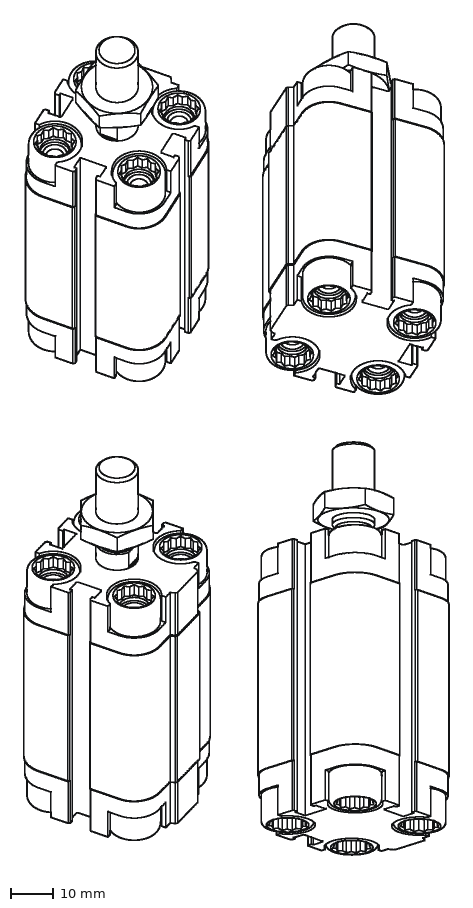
import cadquery as cq
import math


housing_length = 67.9
cap_length = 12.5
barrel_width = 36.0
cap_inset = 0.24
screw_spacing = 22.0
screw_offset = screw_spacing / 2

pad_height = 1.5
pad_edge_chamfer = 0.4
pad_side_lean = 0.5
barrel_pad_half_width = 6.1
cap_pad_half_width = 5.7

slot_mouth_width = 5.4
slot_inner_width = 6.8
slot_depth = 5.0
slot_lip = 1.6
slot_mouth_chamfer = 0.4
side_slot_floor_fillet = 0.4

head_diameter = 12.5
head_height = 7.5
head_pocket_diameter = 13.0
head_fillet = 1.0
corner_cut_start = 7.75
countersink_diameter = 10.0
countersink_end_diameter = 8.1
countersink_depth = 0.5
socket_across_flats = 8.0
socket_depth = 3.2
recess_diameter = 7.2
recess_depth = 4.2
cone_diameter = 5.6
cone_depth = 4.9
bore_diameter = 4.2

rod_diameter = 10.0
rod_top = 94.5
rod_chamfer = 0.8
neck_diameter = 8.5
neck_bottom = 72.6
neck_length = 2.0
wrench_flats = 9.0
wrench_flat_start = 0.4

nut_across_flats = 17.0
nut_thickness = 5.0
nut_bottom = 76.5
nut_face_diameter = 16.8
nut_chamfer_height = 0.5

screw_places = [(x, y) for x in (-screw_offset, screw_offset) for y in (-screw_offset, screw_offset)]


def cylinder(diameter, bottom, height):
    return cq.Workplane("XY").workplane(offset=bottom).circle(diameter / 2).extrude(height)


def profile_section(half_width, pad_half_width, bottom, height):
    """Rounded square about the screw axes, with the pad on +Y and slots in the other sides."""
    section = (
        cq.Workplane("XY").workplane(offset=bottom)
        .rect(2 * half_width, 2 * half_width).extrude(height)
        .edges("|Z").fillet(half_width - screw_offset)
    )
    shoulder = pad_half_width - pad_side_lean
    pad_top = half_width + pad_height
    half_pad = [
        (pad_half_width, 0),
        (pad_half_width, half_width),
        (shoulder, pad_top - pad_edge_chamfer),
        (shoulder - pad_edge_chamfer, pad_top),
    ]
    pad = symmetric_prism(half_pad, bottom, height)
    front_slot = slot_cutter(half_width, bottom, height)
    side_slot = front_slot.edges("|Z and >Y").fillet(side_slot_floor_fillet)
    section = section.union(pad).cut(front_slot)
    for angle in (-90, 90):
        section = section.cut(side_slot.rotate((0, 0, 0), (0, 0, 1), angle))
    return section


def symmetric_prism(half_outline, bottom, height):
    """Prism along Z whose outline is the given +X half and its mirror image."""
    mirrored = [(-x, y) for x, y in reversed(half_outline)]
    return (
        cq.Workplane("XY").workplane(offset=bottom)
        .polyline(half_outline + mirrored).close().extrude(height)
    )


def slot_cutter(half_width, bottom, height):
    """T-slot opening to -Y through the surface at the given half width."""
    mouth = slot_mouth_width / 2
    inner = slot_inner_width / 2
    lip_inside = slot_lip - barrel_width / 2
    half_outline = [
        (mouth + slot_mouth_chamfer, -half_width),
        (mouth, slot_mouth_chamfer - half_width),
        (mouth, lip_inside),
        (inner, lip_inside),
        (inner, slot_depth - barrel_width / 2),
    ]
    return symmetric_prism(half_outline, bottom, height)


def corner_clearance(x, y):
    """Block that clears one corner of the top cap around a screw head."""
    size = barrel_width / 2 - corner_cut_start
    centre = corner_cut_start + size / 2
    return (
        cq.Workplane("XY").workplane(offset=housing_length - head_height)
        .center(math.copysign(centre, x), math.copysign(centre, y))
        .rect(size, size).extrude(head_height)
    )


def screw_head():
    """Screw head on the Z axis with its outer face at the top of the housing."""
    head = cylinder(head_diameter, housing_length - head_height, head_height)
    return head.faces(">Z").edges().fillet(head_fillet)


def socket_cutter():
    """Countersink, twelve-point socket, round recess and cone, one below the other."""
    top = housing_length
    cutter = (
        cq.Workplane("XZ")
        .moveTo(0, top)
        .lineTo(countersink_diameter / 2, top)
        .lineTo(countersink_end_diameter / 2, top - countersink_depth)
        .lineTo(recess_diameter / 2, top - countersink_depth)
        .lineTo(recess_diameter / 2, top - recess_depth)
        .lineTo(cone_diameter / 2, top - recess_depth)
        .lineTo(bore_diameter / 2, top - cone_depth)
        .lineTo(0, top - cone_depth)
        .close().revolve(360, (0, 0, 0), (0, 1, 0))
    )
    across_corners = socket_across_flats / math.cos(math.pi / 6)
    for turn in (0, 30):
        hexagon = (
            cq.Workplane("XY").workplane(offset=top - socket_depth)
            .polygon(6, across_corners).extrude(socket_depth)
            .rotate((0, 0, 0), (0, 0, 1), turn)
        )
        cutter = cutter.union(hexagon)
    return cutter


def mirrored_to_bottom(shape):
    return shape.mirror("XY", (0, 0, housing_length / 2))


def make_housing():
    cap_half_width = barrel_width / 2 - cap_inset
    housing = profile_section(cap_half_width, cap_pad_half_width, 0, housing_length)
    barrel_length = housing_length - 2 * cap_length
    barrel = profile_section(barrel_width / 2, barrel_pad_half_width, cap_length, barrel_length)
    housing = housing.union(barrel)

    head = screw_head()
    socket = socket_cutter()
    pocket = cylinder(head_pocket_diameter, housing_length - head_height, head_height)
    bore = cylinder(bore_diameter, 0, housing_length)
    for x, y in screw_places:
        place = (x, y, 0)
        clearance = corner_clearance(x, y).union(pocket.translate(place))
        placed_head = head.translate(place)
        placed_socket = socket.translate(place)
        housing = housing.cut(clearance).cut(mirrored_to_bottom(clearance))
        housing = housing.union(placed_head).union(mirrored_to_bottom(placed_head))
        housing = housing.cut(placed_socket).cut(mirrored_to_bottom(placed_socket))
        housing = housing.cut(bore.translate(place))
    return housing


def make_rod():
    """Rod end standing on the housing, with wrench flats, neck and chamfered tip."""
    radius = rod_diameter / 2
    neck_radius = neck_diameter / 2
    neck_top = neck_bottom + neck_length
    rod = (
        cq.Workplane("XZ")
        .moveTo(0, housing_length)
        .lineTo(radius, housing_length)
        .lineTo(radius, neck_bottom)
        .lineTo(neck_radius, neck_bottom)
        .lineTo(neck_radius, neck_top)
        .lineTo(radius, neck_top + radius - neck_radius)
        .lineTo(radius, rod_top - rod_chamfer)
        .lineTo(radius - rod_chamfer, rod_top)
        .lineTo(0, rod_top)
        .close().revolve(360, (0, 0, 0), (0, 1, 0))
    )
    flat_bottom = housing_length + wrench_flat_start
    for side in (-1, 1):
        flat = (
            cq.Workplane("XY").workplane(offset=flat_bottom)
            .center(0, side * (wrench_flats + rod_diameter) / 2)
            .rect(rod_diameter, rod_diameter).extrude(neck_bottom - flat_bottom)
        )
        rod = rod.cut(flat)
    return rod


def make_nut():
    """Hexagon nut with corners on the Y axis and both faces chamfered."""
    across_corners = nut_across_flats / math.cos(math.pi / 6)
    nut_top = nut_bottom + nut_thickness
    hexagon = (
        cq.Workplane("XY").workplane(offset=nut_bottom)
        .polygon(6, across_corners).extrude(nut_thickness)
        .rotate((0, 0, 0), (0, 0, 1), 30)
    )
    chamfer_envelope = (
        cq.Workplane("XZ")
        .moveTo(0, nut_bottom)
        .lineTo(nut_face_diameter / 2, nut_bottom)
        .lineTo(across_corners / 2, nut_bottom + nut_chamfer_height)
        .lineTo(across_corners / 2, nut_top - nut_chamfer_height)
        .lineTo(nut_face_diameter / 2, nut_top)
        .lineTo(0, nut_top)
        .close().revolve(360, (0, 0, 0), (0, 1, 0))
    )
    return hexagon.intersect(chamfer_envelope).cut(cylinder(rod_diameter, nut_bottom, nut_thickness))


housing = make_housing()
rod = make_rod()
nut = make_nut()

result = cq.Compound.makeCompound([housing.val(), rod.val(), nut.val()])